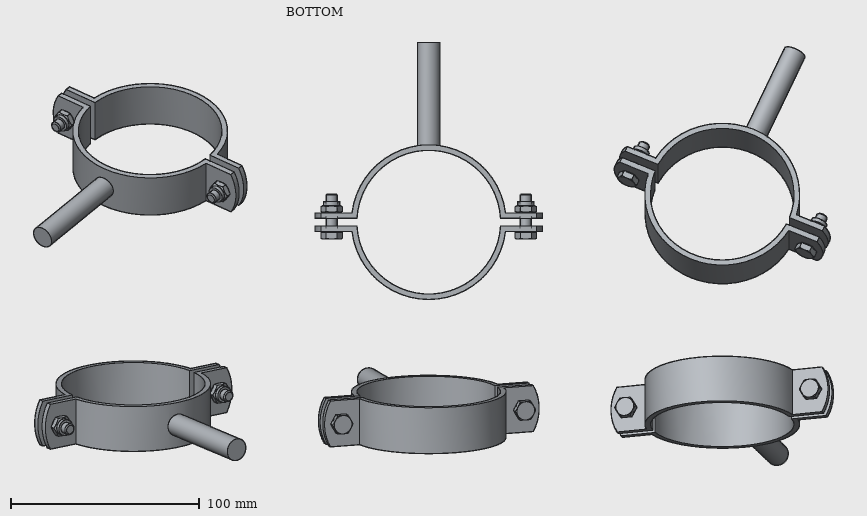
import cadquery as cq
import math

overall_length = 136.4
overall_width = 121.0
band_height = 25.0
band_thickness = 3.0
ring_outer_radius = 41.0
ring_inner_radius = ring_outer_radius - band_thickness
lug_gap = 4.0
lug_inner_face = lug_gap / 2
lug_outer_face = lug_inner_face + band_thickness
lug_tip = overall_width / 2
lug_end_radius = 25.0

rod_diameter = 12.0
rod_end = overall_length - ring_outer_radius

bolt_spacing = 103.0
bolt_diameter = 6.0
bolt_length = 20.0
bolt_tip_chamfer = 0.7
hex_across_flats = 10.0
hex_across_corners = hex_across_flats / math.cos(math.radians(30))
hex_chamfer_angle = 30
washer_face_diameter = 8.9
washer_face_height = 0.4
head_height = 4.0
nut_hex_height = 4.0
nut_height = 6.0
nut_face_diameter = 8.9
nut_collar_diameter = 8.7

bolt_positions = [-bolt_spacing / 2, bolt_spacing / 2]


def cylinder_along_y(diameter, start_y, end_y, x=0):
    """Cylinder centred on Z = 0, running from start_y to end_y."""
    direction = cq.Vector(0, math.copysign(1, end_y - start_y), 0)
    solid = cq.Solid.makeCylinder(diameter / 2, abs(end_y - start_y), cq.Vector(x, start_y, 0), direction)
    return cq.Workplane(obj=solid)


def corner_trim(height, face_diameter, both_ends):
    """Coned blank around Y that bevels a hexagon at its top, or at both ends, down to a round face."""
    corner_radius = hex_across_corners / 2
    face_radius = face_diameter / 2
    drop = (corner_radius - face_radius) * math.tan(math.radians(hex_chamfer_angle))
    if both_ends:
        base = [(0, 0), (face_radius, 0), (corner_radius, drop)]
    else:
        base = [(0, 0), (corner_radius, 0)]
    top = [(corner_radius, height - drop), (face_radius, height), (0, height)]
    return cq.Workplane("XY").polyline(base + top).close().revolve(360, (0, 0), (0, 1))


def hexagon(height, face_diameter, both_ends=False):
    """Bevelled hexagonal prism rising along +Z, with corners on the X axis."""
    prism = cq.Workplane("XY").polygon(6, hex_across_corners).extrude(height)
    trim = corner_trim(height, face_diameter, both_ends).rotate((0, 0, 0), (1, 0, 0), 90)
    return prism.intersect(trim)


def clamp_half():
    """Half ring with two rounded lugs, lying on the +Y side."""
    inner_x = math.sqrt(ring_inner_radius**2 - lug_inner_face**2)
    outer_x = math.sqrt(ring_outer_radius**2 - lug_outer_face**2)
    band = (
        cq.Workplane("XY", origin=(0, 0, -band_height / 2))
        .moveTo(-lug_tip, lug_inner_face)
        .lineTo(-inner_x, lug_inner_face)
        .threePointArc((0, ring_inner_radius), (inner_x, lug_inner_face))
        .lineTo(lug_tip, lug_inner_face)
        .lineTo(lug_tip, lug_outer_face)
        .lineTo(outer_x, lug_outer_face)
        .threePointArc((0, ring_outer_radius), (-outer_x, lug_outer_face))
        .lineTo(-lug_tip, lug_outer_face)
        .close()
        .extrude(band_height)
    )

    half_height = band_height / 2
    shoulder_x = lug_tip - lug_end_radius + math.sqrt(lug_end_radius**2 - half_height**2)
    silhouette = (
        cq.Workplane("XZ")
        .moveTo(-shoulder_x, -half_height)
        .lineTo(shoulder_x, -half_height)
        .threePointArc((lug_tip, 0), (shoulder_x, half_height))
        .lineTo(-shoulder_x, half_height)
        .threePointArc((-lug_tip, 0), (-shoulder_x, -half_height))
        .close()
        .extrude(-ring_outer_radius)
    )
    half = band.intersect(silhouette)

    for x in bolt_positions:
        half = half.cut(cylinder_along_y(bolt_diameter, lug_inner_face, lug_outer_face, x))
    return half


def front_clamp_half():
    """Clamp half on the -Y side, carrying the mounting rod."""
    half = clamp_half().mirror("XZ")
    rod_root = ring_inner_radius + band_thickness / 2
    bore = cq.Workplane("XY").circle(ring_inner_radius).extrude(band_height, both=True)
    rod = cylinder_along_y(rod_diameter, -rod_root, -rod_end).cut(bore)
    return half.union(rod)


def bolt(x):
    """Hex bolt with its head on the rear lug and its tip toward -Y."""
    head = (
        hexagon(head_height - washer_face_height, hex_across_flats)
        .rotate((0, 0, 0), (1, 0, 0), -90)
        .translate((x, lug_outer_face + washer_face_height, 0))
    )
    washer_face = cylinder_along_y(
        washer_face_diameter, lug_outer_face, lug_outer_face + washer_face_height, x
    )
    shank = (
        cylinder_along_y(bolt_diameter, lug_outer_face, lug_outer_face - bolt_length, x)
        .faces("<Y")
        .chamfer(bolt_tip_chamfer)
    )
    return head.union(washer_face).union(shank)


def nut(x):
    """Hex nut with a round locking collar, seated on the front lug."""
    seat = -lug_outer_face
    body = (
        hexagon(nut_hex_height, nut_face_diameter, both_ends=True)
        .rotate((0, 0, 0), (1, 0, 0), 90)
        .translate((x, seat, 0))
    )
    collar = cylinder_along_y(nut_collar_diameter, seat, seat - nut_height, x)
    bore = cylinder_along_y(bolt_diameter, seat, seat - nut_height, x)
    return body.union(collar).cut(bore)


rear_half = clamp_half()
front_half = front_clamp_half()
bolts = [bolt(x).val() for x in bolt_positions]
nuts = [nut(x).val() for x in bolt_positions]

result = cq.Compound.makeCompound([rear_half.val(), front_half.val(), *bolts, *nuts])